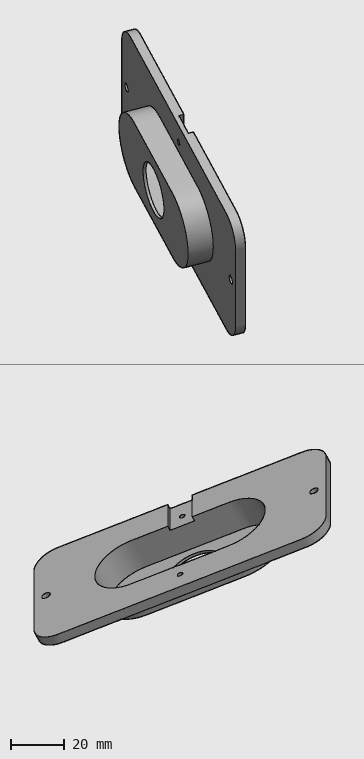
import cadquery as cq

plate_length = 120
plate_height = plate_length / 2
plate_thickness = plate_length / 30
corner_radius = plate_length / 12

boss_projection = plate_length / 12
boss_center_distance = plate_length / 3
boss_width = 33.0
side_wall = 1.5
front_wall = 1.2
total_depth = plate_thickness + boss_projection
cavity_width = boss_width - 2 * side_wall
cavity_depth = total_depth - front_wall

window_diameter = 22.0
end_hole_diameter = 3.4
end_hole_offset = 55.0
pilot_hole_diameter = 2.2
pilot_hole_offset = 21.5

channel_width = plate_length / 12
channel_depth = plate_thickness / 2


def back_plane():
    """Workplane on the back face; positive extrusion goes toward the front."""
    return cq.Workplane("XZ")


def obround(width, depth):
    """Obround prism starting at the back face, sharing the boss arc centers."""
    return back_plane().slot2D(boss_center_distance + width, width).extrude(depth)


def through_holes(points, diameter):
    return back_plane().pushPoints(points).circle(diameter / 2).extrude(total_depth)


plate = (
    back_plane()
    .rect(plate_length, plate_height)
    .extrude(plate_thickness)
    .edges("|Y")
    .fillet(corner_radius)
)

channel_length = plate_height / 2
channel = (
    back_plane()
    .center(0, channel_length / 2)
    .rect(channel_width, channel_length)
    .extrude(channel_depth)
)

end_holes = through_holes([(-end_hole_offset, 0), (end_hole_offset, 0)], end_hole_diameter)
pilot_holes = through_holes([(0, -pilot_hole_offset), (0, pilot_hole_offset)], pilot_hole_diameter)
window = through_holes([(0, 0)], window_diameter)

result = (
    plate
    .union(obround(boss_width, total_depth))
    .cut(obround(cavity_width, cavity_depth))
    .cut(channel)
    .cut(end_holes)
    .cut(pilot_holes)
    .cut(window)
)